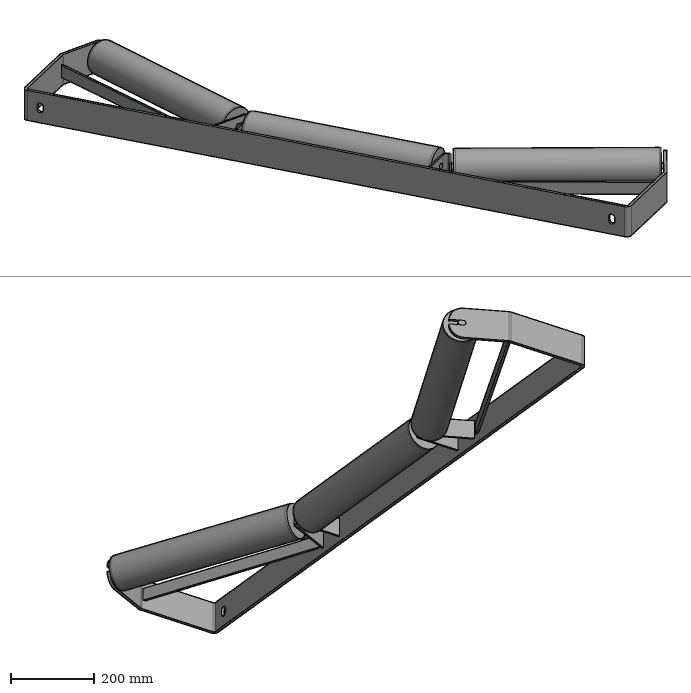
import cadquery as cq
import math

frame_length = 1600.0
strip_width = 80.0
strip_thickness = 8.0
bend_radius = 13.0
trough_angle = 25.0
knee_height = 220.0
arm_length = 149.0
arm_tip_radius = 35.0

roller_diameter = 90.0
roller_length = 500.0
rim_taper_length = 5.0
rim_taper_depth = 0.8
middle_roller_y = 100.0
side_roller_x = 512.0
side_roller_y = 216.0

shaft_depth = 20.0
shaft_width = 13.0

bracket_width = 48.0
bracket_thickness = 5.0
bracket_bend_radius = 11.0
bracket_inner_x = 253.0
bracket_foot_x = 328.0

strut_width = 32.0
strut_thickness = 6.0
strut_top_y = 215.0
strut_toe_x = 333.0

hole_x = 754.0
hole_width = 16.0
hole_height = 25.0

half_length = frame_length / 2
tilt = math.radians(trough_angle)
up_arm = (math.sin(tilt), math.cos(tilt))
off_arm = (math.cos(tilt), -math.sin(tilt))
leg_inner_x = half_length - strip_thickness


def shifted(point, direction, distance):
    return (point[0] + direction[0] * distance, point[1] + direction[1] * distance)


def axial_position(x, y):
    """Distance from the origin along the left roller's axis direction, measured outward."""
    return -x * off_arm[0] - y * off_arm[1]


side_roller_axial = axial_position(-side_roller_x, side_roller_y)
arm_reach = axial_position(-half_length, knee_height) - side_roller_axial
foot_reach = side_roller_axial - axial_position(-bracket_foot_x, strip_thickness)
side_shaft_inner_reach = foot_reach + bracket_thickness
middle_shaft_reach = bracket_inner_x + bracket_thickness


def extruded(points, width):
    """Closed XY outline extruded evenly to both sides of Z = 0."""
    return cq.Workplane("XY").polyline(points).close().extrude(width / 2, both=True)


def bend(body, corner, radius):
    """Round the Z edge of the body that passes through an XY corner."""
    nearest = cq.selectors.NearestToPointSelector((corner[0], corner[1], 0))
    return body.edges("|Z").edges(nearest).fillet(radius)


def at_left_roller(body):
    """Move a body lying along X about the origin to the left side roller's place."""
    return body.rotate((0, 0, 0), (0, 0, 1), -trough_angle).translate((-side_roller_x, side_roller_y, 0))


def both_sides(body):
    return [body, body.mirror("YZ")]


def shaft_profile(start, end):
    """Obround shaft along X between two X positions, with its flats facing +Z and -Z."""
    shaft = cq.Workplane("YZ").slot2D(shaft_depth, shaft_width).extrude(end - start)
    return shaft.translate((start, 0, 0))


def arm_slot():
    """Slot through the left arm that fits the shaft end below and is open at the arm's tip."""
    opening = cq.Workplane("XY").box(
        strip_thickness, arm_length, shaft_width, centered=(False, False, True)
    )
    return shaft_profile(-arm_reach, strip_thickness - arm_reach).union(opening.translate((-arm_reach, 0, 0)))


def make_half_frame():
    knee = (-half_length, knee_height)
    arm_end = shifted(knee, up_arm, arm_length)
    inner_knee = (-leg_inner_x, knee_height - strip_thickness * math.tan(tilt / 2))
    corner = (-half_length, 0)
    inner_corner = (-leg_inner_x, strip_thickness)
    body = extruded(
        [
            (0, 0),
            corner,
            knee,
            arm_end,
            shifted(arm_end, off_arm, strip_thickness),
            inner_knee,
            inner_corner,
            (0, strip_thickness),
        ],
        strip_width,
    )
    body = body.faces(">Y").edges("not |Z").fillet(arm_tip_radius)
    for outer, inner in ((corner, inner_corner), (knee, inner_knee)):
        body = bend(body, outer, bend_radius)
        body = bend(body, inner, bend_radius - strip_thickness)
    slot = at_left_roller(arm_slot())
    hole = cq.Workplane("XZ").center(-hole_x, 0).slot2D(hole_height, hole_width, 90).extrude(-strip_thickness)
    return body.cut(slot).cut(hole)


half_frame = make_half_frame()
frame = half_frame.union(half_frame.mirror("YZ"))


def make_bracket():
    foot = (-bracket_foot_x, strip_thickness)
    apex_y = foot[1] + (bracket_foot_x - bracket_inner_x) / math.tan(tilt)
    inner_x = -bracket_inner_x - bracket_thickness
    across = bracket_thickness / math.cos(tilt)
    inner_apex_y = foot[1] + (inner_x - foot[0] - across) / math.tan(tilt)
    body = extruded(
        [
            foot,
            (-bracket_inner_x, apex_y),
            (-bracket_inner_x, strip_thickness),
            (inner_x, strip_thickness),
            (inner_x, inner_apex_y),
            (foot[0] + across, strip_thickness),
        ],
        bracket_width,
    )
    body = bend(body, (-bracket_inner_x, apex_y), bracket_bend_radius)
    body = bend(body, (inner_x, inner_apex_y), bracket_bend_radius - bracket_thickness)
    side_hole = at_left_roller(shaft_profile(foot_reach, side_shaft_inner_reach))
    middle_hole = shaft_profile(inner_x, -bracket_inner_x).translate((0, middle_roller_y, 0))
    return body.cut(side_hole).cut(middle_hole)


brackets = both_sides(make_bracket())


def make_strut():
    slope = math.atan2(strut_top_y - strip_thickness, leg_inner_x - strut_toe_x)
    across_x = strut_thickness / math.sin(slope)
    across_y = strut_thickness / math.cos(slope)
    return extruded(
        [
            (-leg_inner_x, strut_top_y),
            (-strut_toe_x, strip_thickness),
            (-strut_toe_x - across_x, strip_thickness),
            (-leg_inner_x, strut_top_y - across_y),
        ],
        strut_width,
    )


struts = both_sides(make_strut())


def make_roller(left_reach, right_reach):
    end_x = roller_length / 2
    rim_x = end_x - rim_taper_length
    radius = roller_diameter / 2
    end_radius = radius - rim_taper_depth
    half_section = [
        (-end_x, 0),
        (-end_x, end_radius),
        (-rim_x, radius),
        (rim_x, radius),
        (end_x, end_radius),
        (end_x, 0),
    ]
    drum = cq.Workplane("XY").polyline(half_section).close().revolve(360, (0, 0, 0), (1, 0, 0))
    return drum.union(shaft_profile(-left_reach, right_reach))


middle_roller = make_roller(middle_shaft_reach, middle_shaft_reach).translate((0, middle_roller_y, 0))
side_rollers = both_sides(at_left_roller(make_roller(arm_reach, side_shaft_inner_reach)))

bodies = [frame, *brackets, *struts, middle_roller, *side_rollers]
result = cq.Compound.makeCompound([body.val() for body in bodies])